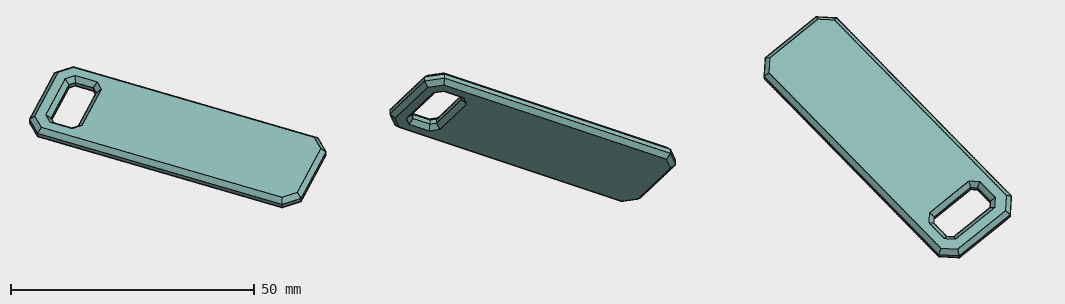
import cadquery as cq

LENGTH = 60.0
WIDTH = 20.0
THICKNESS = 3.0
CORNER_CUT = 3.0

SLOT_LENGTH = 6.0
SLOT_WIDTH = 12.0
SLOT_CORNER_CUT = 1.0
SLOT_END_MARGIN = 4.0
SLOT_CENTER_X = -LENGTH / 2 + SLOT_END_MARGIN + SLOT_LENGTH / 2

RIM_BEVEL = 1.0


def make_octagonal_block(size_x, size_y, corner_cut):
    """Block of plate thickness, centred in X and Y, with its four upright edges cut at 45 degrees."""
    return (
        cq.Workplane("XY")
        .box(size_x, size_y, THICKNESS, centered=(True, True, False))
        .edges("|Z")
        .chamfer(corner_cut)
    )


def cut_slot(plate):
    """Cut the strap slot through the full thickness."""
    slot = make_octagonal_block(SLOT_LENGTH, SLOT_WIDTH, SLOT_CORNER_CUT)
    return plate.cut(slot.translate((SLOT_CENTER_X, 0, 0)))


def bevel_rims(plate):
    """Bevel every outer and slot edge of the top and bottom faces."""
    return plate.faces("<Z or >Z").edges().chamfer(RIM_BEVEL)


blank = make_octagonal_block(LENGTH, WIDTH, CORNER_CUT)
slotted_plate = cut_slot(blank)
result = bevel_rims(slotted_plate)